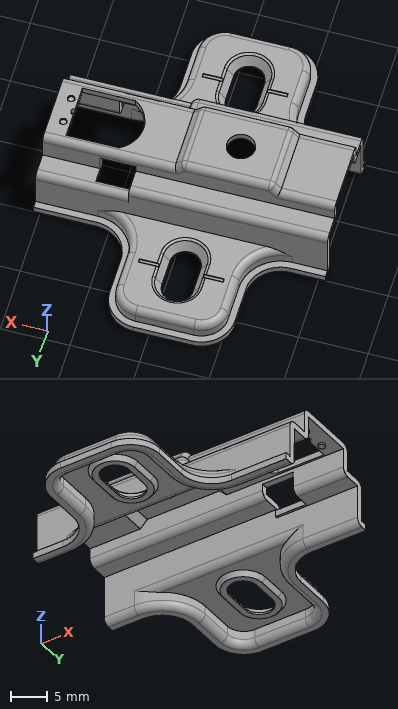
import cadquery as cq
import math

length = 42.0
width = 50.7
height = 12.9
sheet = 1.05

wall_half = 8.95
web_half = 5.4
ledge_high = 8.95
ledge_low = 7.5
top_level = 11.7
front_step_x = 24.45
rear_step_x = 28.6

ramp_start_x = 7.9
ramp_end_x = 23.05

rim = 1.0
flange_half = wall_half + rim
arm_min_x = 10.0
arm_max_x = 28.0
arm_corner_radius = 4.8
arm_root_radius = 4.95
pad_level = 3.5

slot_x = (arm_min_x + arm_max_x) / 2
slot_y = 16.0
slot_travel = 4.0
slot_diameter = 4.4
sink_diameter = 6.3
slot_rim_diameter = 7.05
collar_diameter = 6.4
lip_level = 1.65
throat_level = 2.0
sink_level = 3.3
mark_span = 12.15
mark_width = 0.5
mark_depth = 0.15

screw_hole_x = 15.0
screw_hole_diameter = 4.0
window_length = 5.05
window_top = 10.05
window_outer = 7.55
opening_min_x = 29.0
opening_shoulder_x = 31.35
opening_max_x = 38.95
opening_half = 4.05
notch_radius = 0.45

dimple_x = 39.95
dimple_y = 2.0
dimple_diameter = 1.0
dimple_drop = 0.3

gap = 0.05


def block(x0, x1, y0, y1, z0, z1):
    """Axis-aligned box between two corners."""
    return cq.Workplane("XY").box(x1 - x0, y1 - y0, z1 - z0, centered=False).translate((x0, y0, z0))


def both_sides(shape):
    """The shape joined with its mirror image across the XZ plane."""
    return shape.union(shape.mirror("XZ"))


def arm(inset, thickness):
    """+Y arm with flared roots; inset moves the outline inward evenly."""
    left = arm_min_x + inset
    right = arm_max_x - inset
    tip = width / 2 - inset
    corner = arm_corner_radius - inset
    root = arm_root_radius + inset
    base = flange_half - inset
    bend = math.sqrt(0.5)
    return (
        cq.Workplane("XY")
        .moveTo(left - root, 0)
        .lineTo(left - root, base)
        .threePointArc((left - root + root * bend, base + root - root * bend), (left, base + root))
        .lineTo(left, tip - corner)
        .threePointArc((left + corner - corner * bend, tip - corner + corner * bend), (left + corner, tip))
        .lineTo(right - corner, tip)
        .threePointArc((right - corner + corner * bend, tip - corner + corner * bend), (right, tip - corner))
        .lineTo(right, base + root)
        .threePointArc((right + root - root * bend, base + root - root * bend), (right + root, base))
        .lineTo(right + root, 0)
        .close()
        .extrude(thickness)
    )


def ramped_pad(half, floor, base_level, top, start, end):
    """Trapezoid along X with 45 degree ramps, centred on Y."""
    rise = top - base_level
    return (
        cq.Workplane("XZ", origin=(0, half, 0))
        .moveTo(start, floor)
        .lineTo(start, base_level)
        .lineTo(start + rise, top)
        .lineTo(end - rise, top)
        .lineTo(end, base_level)
        .lineTo(end, floor)
        .close()
        .extrude(2 * half)
    )


def bridge_outside():
    """Solid stepped bridge with all outer bends rounded."""
    lower = block(0, length, -wall_half, wall_half, 0, ledge_low).edges("|X and >Z").fillet(sheet)
    front = block(0, front_step_x, -wall_half, 0, 0, ledge_high)
    front = front.edges("(|X and >Z and <Y) or (|Y and >Z and >X) or (|Z and >X and <Y)").fillet(sheet)
    rear = block(0, rear_step_x, 0, wall_half, 0, ledge_high).edges("|X and >Z and >Y").fillet(sheet)
    web = block(0, length, -web_half, web_half, 0, top_level).edges("|X and >Z").fillet(sheet)
    pad = ramped_pad(web_half, ledge_high, top_level, height, ramp_start_x, ramp_end_x)
    above_top = cq.selectors.BoxSelector((0, -width, top_level + gap), (length, width, height + gap))
    pad = pad.edges(above_top).fillet(sheet)
    return lower.union(front).union(rear).union(web).union(pad)


def bridge_inside():
    """Void under the bridge, one sheet thickness inside its outer faces."""
    wall_inner = wall_half - sheet
    web_inner = web_half - sheet
    high = ledge_high - sheet
    low = ledge_low - sheet
    riser_x = front_step_x - sheet
    lower = block(0, length, -wall_inner, wall_inner, 0, low)
    front = block(0, riser_x, -wall_inner, 0, 0, high)
    rear = block(0, rear_step_x, 0, wall_inner, 0, high)
    web = block(0, length, -web_inner, web_inner, 0, top_level - sheet)
    void = lower.union(front).union(rear).union(web)

    web_bends = cq.selectors.BoxSelector(
        (-gap, -web_inner - gap, low - gap), (length + gap, web_inner + gap, high + gap)
    )
    riser_bend = cq.selectors.BoxSelector(
        (riser_x - gap, -wall_inner - gap, low - gap), (riser_x + gap, -web_inner + gap, low + gap)
    )
    void = void.edges("not |Z").edges(web_bends + riser_bend).fillet(sheet)

    ramp_shift = sheet * math.tan(math.pi / 8)
    pad = ramped_pad(
        web_inner, high, top_level - sheet, height - sheet, ramp_start_x + ramp_shift, ramp_end_x - ramp_shift
    )
    return void.union(pad)


def arm_hollow():
    """Void under one arm pad; the wall above its mouth is rounded like a sheet bend."""
    ceiling = pad_level - sheet
    mouth = wall_half - sheet
    roof = block(0, length, mouth, width / 2, ceiling, 2 * pad_level).edges("|X and <Y and <Z").fillet(sheet)
    return arm(rim + sheet, pad_level).cut(roof)


def slot(diameter, level):
    """Slot outline along Y, centred on the +Y screw slot."""
    centre = cq.Workplane("XY", origin=(slot_x, slot_y, level))
    return centre.slot2D(slot_travel + diameter, diameter, 90)


def tapered_slot(low_diameter, low_level, high_diameter, high_level):
    """Slot that widens evenly from its lower to its upper level."""
    low = slot(low_diameter, low_level).wires().val()
    high = slot(high_diameter, high_level).wires().val()
    return cq.Workplane(cq.Solid.makeLoft([low, high], True))


def slot_collar():
    """Dished metal round a screw slot, reaching down into the arm hollow."""
    spread = (sink_diameter - slot_diameter) / (sink_level - throat_level)
    top = pad_level - sheet / 2
    wide = collar_diameter + spread * (top - lip_level)
    return tapered_slot(collar_diameter, lip_level, wide, top)


def slot_opening():
    """Straight throat, tapered sink, bevelled rim and the two alignment marks."""
    throat = slot(slot_diameter, 0).extrude(pad_level)
    sink = tapered_slot(slot_diameter, throat_level, sink_diameter, sink_level)
    rim_bevel = tapered_slot(sink_diameter, sink_level, slot_rim_diameter, pad_level)
    marks = block(
        slot_x - mark_span / 2, slot_x + mark_span / 2,
        slot_y - mark_width / 2, slot_y + mark_width / 2,
        pad_level - mark_depth, pad_level,
    )
    return throat.union(sink).union(rim_bevel).union(marks)


def spring_opening():
    """Round-nosed opening in the top of the bridge with a small notch at its straight end."""
    depth = height - ledge_high
    start = cq.Workplane("XY", origin=(0, 0, ledge_high))
    notch = start.moveTo(opening_max_x, 0).circle(notch_radius).extrude(depth)
    opening = (
        start.moveTo(opening_shoulder_x, opening_half)
        .threePointArc((opening_min_x, 0), (opening_shoulder_x, -opening_half))
        .lineTo(opening_max_x, -opening_half)
        .lineTo(opening_max_x, opening_half)
        .close()
        .extrude(depth)
    )
    return opening.union(notch)


def window():
    """Opening through the +Y shoulder, continuing up into the web beside it."""
    end = rear_step_x + window_length
    web_inner = web_half - sheet
    in_shoulder = block(rear_step_x, end, web_inner, window_outer, ledge_low - 2 * sheet, ledge_low)
    in_web = block(rear_step_x, end, web_inner, web_half, ledge_low, window_top)
    return in_shoulder.union(in_web)


flange = block(0, length, -flange_half, flange_half, 0, sheet).union(both_sides(arm(0, sheet)))
arm_pads = both_sides(arm(rim, pad_level).faces(">Z").edges().fillet(sheet))
hollow = bridge_inside().union(both_sides(arm_hollow()))
result = bridge_outside().union(flange).union(arm_pads).cut(hollow)


def borders_hollow(edge):
    """True for an edge that runs along the hollow under the sheet."""
    middle = cq.Vertex.makeVertex(*edge.positionAt(0.5).toTuple())
    return middle.distance(hollow.val()) < gap


result = result.faces("<Z").edges().filter(borders_hollow).fillet(sheet)

result = result.union(both_sides(slot_collar())).cut(both_sides(slot_opening()))

screw_hole = cq.Workplane("XY", origin=(screw_hole_x, 0, ledge_high)).circle(screw_hole_diameter / 2)
result = result.cut(screw_hole.extrude(height - ledge_high))
result = result.cut(spring_opening())
result = result.cut(both_sides(window()))

dimples = (
    cq.Workplane("XY", origin=(dimple_x, 0, top_level))
    .pushPoints([(0, dimple_y), (0, -dimple_y)])
    .circle(dimple_diameter / 2)
    .extrude(-dimple_drop)
)
result = result.union(dimples.translate((0, 0, -sheet))).cut(dimples)